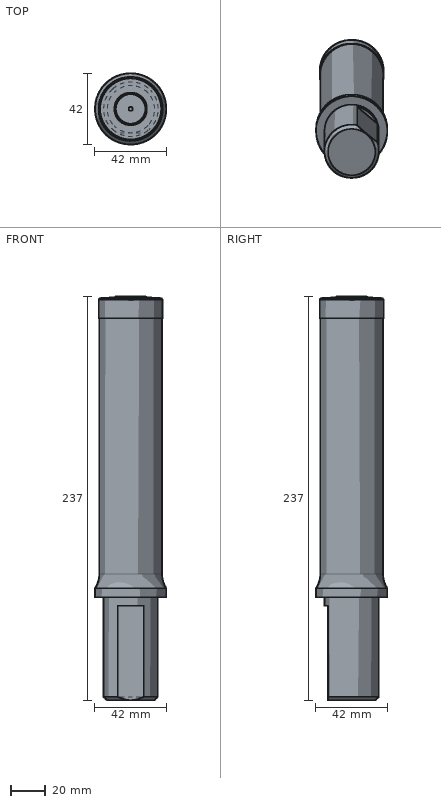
import cadquery as cq
import math

total_height = 237.0
flat_top = 55.5
flange_bottom = 60.5
flange_top = 65.6
flare_top = 74.2
cap_bottom = 224.2
cap_rim_top = 236.0
boss_base = 236.5

shank_diameter = 32.0
barrel_diameter = 37.0
flange_diameter = 42.0
cap_diameter = 37.7
boss_base_diameter = 19.2
boss_top_diameter = 17.3
center_hole_diameter = 2.4

shank_chamfer = 2.1
cap_chamfer = 1.0
flat_width = 15.5
center_hole_depth = 2.4


def flare_midpoint():
    """Middle of the concave arc that leaves the barrel tangentially and ends at the flange."""
    spread = (flange_diameter - barrel_diameter) / 2
    drop = flare_top - flange_top
    radius = (drop**2 + spread**2) / (2 * spread)
    half_angle = math.asin(drop / radius) / 2
    return (
        barrel_diameter / 2 + radius * (1 - math.cos(half_angle)),
        flare_top - radius * math.sin(half_angle),
    )


def shank_flat_cutter():
    """Block that leaves a flat of the given width on the -Y side of the shank."""
    shank_radius = shank_diameter / 2
    flat_distance = math.sqrt(shank_radius**2 - (flat_width / 2) ** 2)
    return cq.Workplane("XY").box(
        shank_diameter, shank_radius, flat_top, centered=(True, False, False)
    ).translate((0, -flat_distance - shank_radius, 0))


def make_shaft():
    """Barrel, flared flange and shank turned as one piece, with a flat on the shank."""
    shank_radius = shank_diameter / 2
    barrel_radius = barrel_diameter / 2
    flange_radius = flange_diameter / 2
    turned = (
        cq.Workplane("XZ")
        .lineTo(shank_radius - shank_chamfer, 0)
        .lineTo(shank_radius, shank_chamfer)
        .lineTo(shank_radius, flange_bottom)
        .lineTo(flange_radius, flange_bottom)
        .lineTo(flange_radius, flange_top)
        .threePointArc(flare_midpoint(), (barrel_radius, flare_top))
        .lineTo(barrel_radius, cap_bottom)
        .lineTo(0, cap_bottom)
        .close()
        .revolve(360, (0, 0, 0), (0, 1, 0))
    )
    return turned.cut(shank_flat_cutter())


def make_cap():
    """Chamfered end cap whose top rises gently to a low tapered boss with a small blind center hole."""
    cap_radius = cap_diameter / 2
    turned = (
        cq.Workplane("XZ")
        .moveTo(0, cap_bottom)
        .lineTo(cap_radius, cap_bottom)
        .lineTo(cap_radius, cap_rim_top - cap_chamfer)
        .lineTo(cap_radius - cap_chamfer, cap_rim_top)
        .lineTo(boss_base_diameter / 2, boss_base)
        .lineTo(boss_top_diameter / 2, total_height)
        .lineTo(0, total_height)
        .close()
        .revolve(360, (0, 0, 0), (0, 1, 0))
    )
    return turned.faces(">Z").workplane().hole(center_hole_diameter, center_hole_depth)


shaft = make_shaft()
cap = make_cap()
result = cq.Compound.makeCompound([shaft.val(), cap.val()])